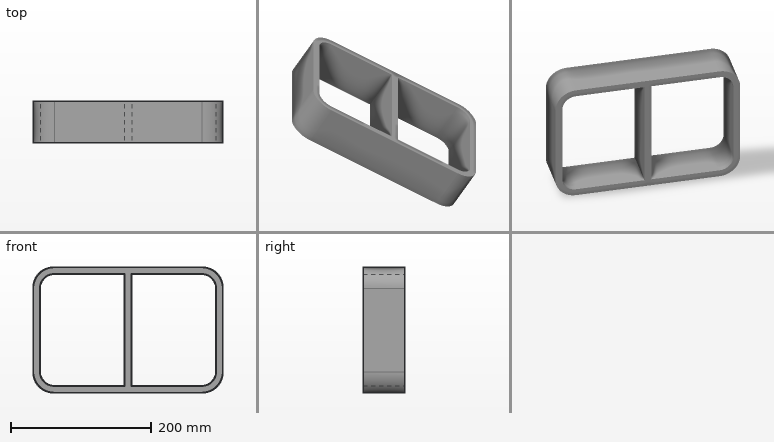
import cadquery as cq

length = 271.0
depth = 60.0
height = 179.5

wall = 10.0
outer_radius = 30.0
inner_radius = outer_radius - wall


def rounded_block(size_x, size_z, corner_radius):
    """Block centred on the origin, with its four Y-direction edges rounded."""
    return cq.Workplane("XY").box(size_x, depth, size_z).edges("|Y").fillet(corner_radius)


outer = rounded_block(length, height, outer_radius)
opening = rounded_block(length - 2 * wall, height - 2 * wall, inner_radius)

divider = cq.Workplane("XY").box(wall, depth, height - wall)

result = outer.cut(opening).union(divider)